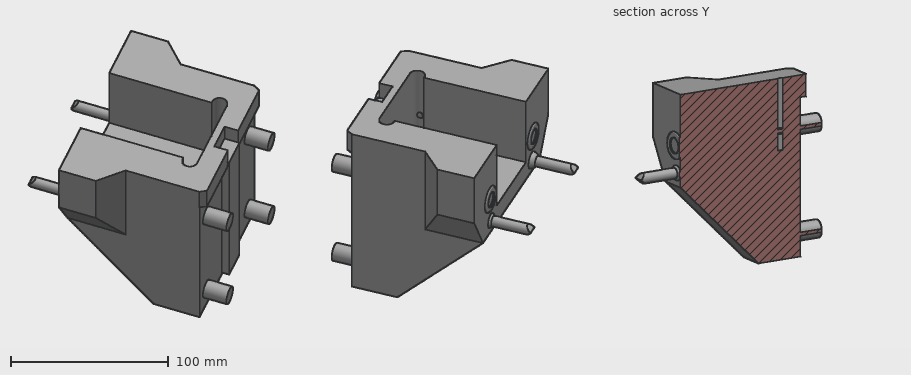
import cadquery as cq
import math


height = 120.0
body_width = 96.8
body_length = 90.0
wing_width = 127.0
wing_length = 25.2
wing_end = 39.7
front_face_bottom = 58.6
wing_side_bottom = 84.5

pad_height = 15.0
pad_back = 94.0
pad_chamfer_start = 89.7
pad_chamfer_width = 2.6

pocket_width = 50.0
pocket_depth = 47.6
relief_width = 10.0
relief_span = 61.9
pocket_back = 79.7

key_width = 18.0
keyway_floor = 84.8
key_back = 94.9
key_top = height - 11.5
key_bottom = 1.4

stud_diameter = 12.0
stud_offset = 36.5
upper_stud_z = height - 34.9
lower_stud_z = 15.0
stud_start = 61.3
stud_end = 105.9
washer_diameter = 18.0
washer_bore = 10.4
washer_thickness = 1.0
washer_rounding = 0.8

nozzle_offset = 35.0
nozzle_z = height - 52.6
nozzle_diameter = 7.1
nozzle_reach = 31.8
ball_radius = 6.0
extended_ball_x = 1.4
recessed_ball_x = 3.3


def box(x_range, width, z_range):
    """Box centred on the symmetry plane."""
    length = x_range[1] - x_range[0]
    box_height = z_range[1] - z_range[0]
    return (
        cq.Workplane("XY")
        .box(length, width, box_height, centered=(False, True, False))
        .translate((x_range[0], 0, z_range[0]))
    )


def rod(x_start, x_end, diameter, y, z):
    """Round bar along X."""
    return (
        cq.Workplane("YZ", origin=(x_start, y, z))
        .circle(diameter / 2)
        .extrude(x_end - x_start)
    )


def plan_prism(back_points, z_start, z_end):
    """Symmetric winged plan shape; back_points close its +Y half at the rear."""
    half_plan = [
        (0, wing_width / 2),
        (wing_length, wing_width / 2),
        (wing_end, body_width / 2),
    ] + back_points
    mirrored = [(x, -y) for x, y in reversed(half_plan)]
    return (
        cq.Workplane("XY", origin=(0, 0, z_start))
        .polyline(half_plan + mirrored)
        .close()
        .extrude(z_end - z_start)
    )


def make_body():
    pad_bottom = height - pad_height
    lower_back = [(body_length, body_width / 2)]
    pad_outline = [
        (pad_chamfer_start, body_width / 2),
        (pad_back, body_width / 2 - pad_chamfer_width),
    ]
    body = plan_prism(lower_back, 0, pad_bottom)
    body = body.union(plan_prism(pad_outline, pad_bottom, height))

    underside_profile = (
        cq.Workplane("XZ", origin=(0, wing_width / 2, 0))
        .polyline([
            (0, height),
            (0, front_face_bottom),
            (front_face_bottom, 0),
            (pad_back, 0),
            (pad_back, height),
        ])
        .close()
        .extrude(wing_width)
    )

    positive_half = [
        (wing_width / 2, height),
        (wing_width / 2, wing_side_bottom),
        (body_width / 2, front_face_bottom),
        (body_width / 2, 0),
    ]
    negative_half = [(-y, z) for y, z in reversed(positive_half)]
    wing_profile = (
        cq.Workplane("YZ")
        .polyline(positive_half + negative_half)
        .close()
        .extrude(pad_back)
    )
    return body.intersect(underside_profile).intersect(wing_profile)


def make_pocket():
    floor = height - pocket_depth
    relief_x = pocket_back - relief_width / 2
    relief = (
        cq.Workplane("XY", origin=(relief_x, 0, floor))
        .slot2D(relief_span, relief_width, 90)
        .extrude(pocket_depth)
    )
    return box((0, relief_x), pocket_width, (floor, height)).union(relief)


def make_washer(y):
    ring = rod(-washer_thickness, 0, washer_diameter, y, upper_stud_z)
    ring = ring.faces("<X").edges().fillet(washer_rounding)
    return ring.cut(rod(-washer_thickness, 0, washer_bore, y, upper_stud_z))


def make_nozzle(y, ball_x):
    """Ball and tube turned about X; the tube ends in a 90 degree wedge with a level edge."""
    tip = ball_x - nozzle_reach
    radius = nozzle_diameter / 2
    ball_flat_x = ball_x - math.sqrt(ball_radius**2 - radius**2)
    arc_run = ball_radius * math.sqrt(0.5)
    turned = (
        cq.Workplane("XY", origin=(0, y, nozzle_z))
        .moveTo(tip, 0)
        .lineTo(tip, radius)
        .lineTo(ball_flat_x, radius)
        .threePointArc((ball_x - arc_run, arc_run), (ball_x, ball_radius))
        .threePointArc((ball_x + arc_run, arc_run), (ball_x + ball_radius, 0))
        .close()
        .revolve(360, (0, 0), (1, 0))
    )
    for z_corner in (-nozzle_diameter, nozzle_diameter):
        corner = (
            cq.Workplane("XZ", origin=(tip, y, nozzle_z))
            .polyline([(0, 0), (0, z_corner), (nozzle_diameter, z_corner)])
            .close()
            .extrude(nozzle_diameter, both=True)
        )
        turned = turned.cut(corner)
    return turned


result = make_body().cut(make_pocket())

result = result.cut(box((keyway_floor, pad_back), key_width, (key_bottom, height)))
result = result.union(box((keyway_floor, key_back), key_width, (key_bottom, key_top)))

for stud_y in (-stud_offset, stud_offset):
    for stud_z in (lower_stud_z, upper_stud_z):
        result = result.union(rod(stud_start, stud_end, stud_diameter, stud_y, stud_z))
    result = result.union(make_washer(stud_y))

result = result.union(make_nozzle(-nozzle_offset, extended_ball_x))
result = result.union(make_nozzle(nozzle_offset, recessed_ball_x))